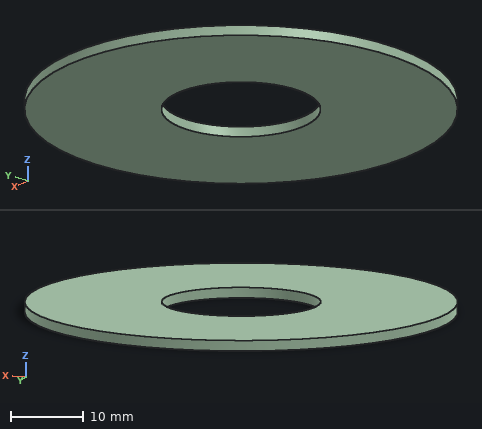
import cadquery as cq

OUTER_DIAMETER = 60.0
HOLE_DIAMETER = 22.0
THICKNESS = 1.5

result = (
    cq.Workplane("XY")
    .circle(OUTER_DIAMETER / 2)
    .circle(HOLE_DIAMETER / 2)
    .extrude(THICKNESS)
)